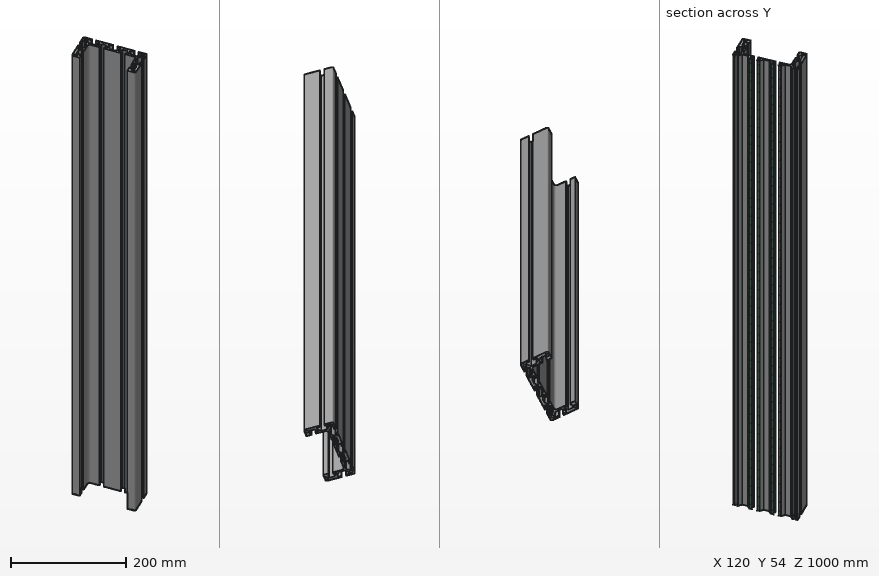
import cadquery as cq

width = 120.0
depth = 54.0
length = 1000.0

wall = 15.0
outer_corner_radius = 3.0
inner_corner_radius = 5.0

lip = 3.0
mouth_width = 8.2
outer_cavity_width = 21.0
outer_slot_depth = 12.0
outer_flank = 5.5
inner_cavity_width = 18.0
inner_slot_depth = 9.5
inner_flank = 5.0

slot_pitch = 40.0
outer_leg_slot_y = 6.5
inner_leg_slot_y = outer_leg_slot_y - slot_pitch / 2
foot_side_half_width = 5.5

hole_diameter = 5.0
hole_inset = 6.0
foot_hole_inset = 4.0

right_face = width / 2
back_face = depth / 2
leg_inner_face = right_face - wall
back_inner_face = back_face - wall


def flank_side(cavity_width, slot_depth, flank):
    """Half outline of a slot, from its mouth at X = 0 to its floor."""
    mouth = mouth_width / 2
    cavity = cavity_width / 2
    return [
        (0, mouth),
        (lip, mouth),
        (lip, cavity),
        (slot_depth - flank, cavity),
        (slot_depth, cavity - flank),
    ]


def square_side(half_width, slot_depth):
    """Half outline of a slot whose cavity ends in a flat wall without a flank."""
    mouth = mouth_width / 2
    return [(0, mouth), (lip, mouth), (lip, half_width), (slot_depth, half_width)]


def slot_cutter(upper_side, lower_side):
    """Full-length cutter running in +X from a mouth at the origin; lower_side is given mirrored."""
    mirrored = [(x, -y) for x, y in reversed(lower_side)]
    return cq.Workplane("XY").polyline(upper_side + mirrored).close().extrude(length)


def placed(cutter, angle, x, y):
    """Turn a slot cutter about Z and move its mouth to (x, y)."""
    return cutter.rotate((0, 0, 0), (0, 0, 1), angle).translate((x, y, 0))


def u_bar():
    """Solid U-shaped bar, open towards -Y."""
    block = cq.Workplane("XY").rect(width, depth).extrude(length)
    block = block.edges("|Z").fillet(outer_corner_radius)
    opening = cq.Workplane("XY").center(0, -wall).rect(2 * leg_inner_face, depth).extrude(length)
    opening = opening.edges("|Z and >Y").fillet(inner_corner_radius)
    return block.cut(opening)


def cut_back_slots(bar):
    """Three slots in the back face and two, between them, in the face inside the U."""
    for x in (-slot_pitch, 0, slot_pitch):
        bar = bar.cut(placed(outer_slot, -90, x, back_face))
    for x in (-slot_pitch / 2, slot_pitch / 2):
        bar = bar.cut(placed(inner_slot, 90, x, back_inner_face))
    return bar


def cut_legs(bar):
    """One outer slot, one inner slot and two round holes in each leg."""
    hole_x = -right_face + hole_inset
    hole_points = [(hole_x, back_face - hole_inset), (hole_x, -back_face + foot_hole_inset)]
    cuts = [
        placed(outer_slot, 0, -right_face, outer_leg_slot_y),
        placed(inner_leg_slot, 180, -leg_inner_face, inner_leg_slot_y),
        cq.Workplane("XY").pushPoints(hole_points).circle(hole_diameter / 2).extrude(length),
    ]
    for cut in cuts:
        bar = bar.cut(cut).cut(cut.mirror("YZ"))
    return bar


outer_side = flank_side(outer_cavity_width, outer_slot_depth, outer_flank)
inner_side = flank_side(inner_cavity_width, inner_slot_depth, inner_flank)
foot_side = square_side(foot_side_half_width, inner_slot_depth)

outer_slot = slot_cutter(outer_side, outer_side)
inner_slot = slot_cutter(inner_side, inner_side)
inner_leg_slot = slot_cutter(foot_side, inner_side)

result = cut_legs(cut_back_slots(u_bar())).solids()